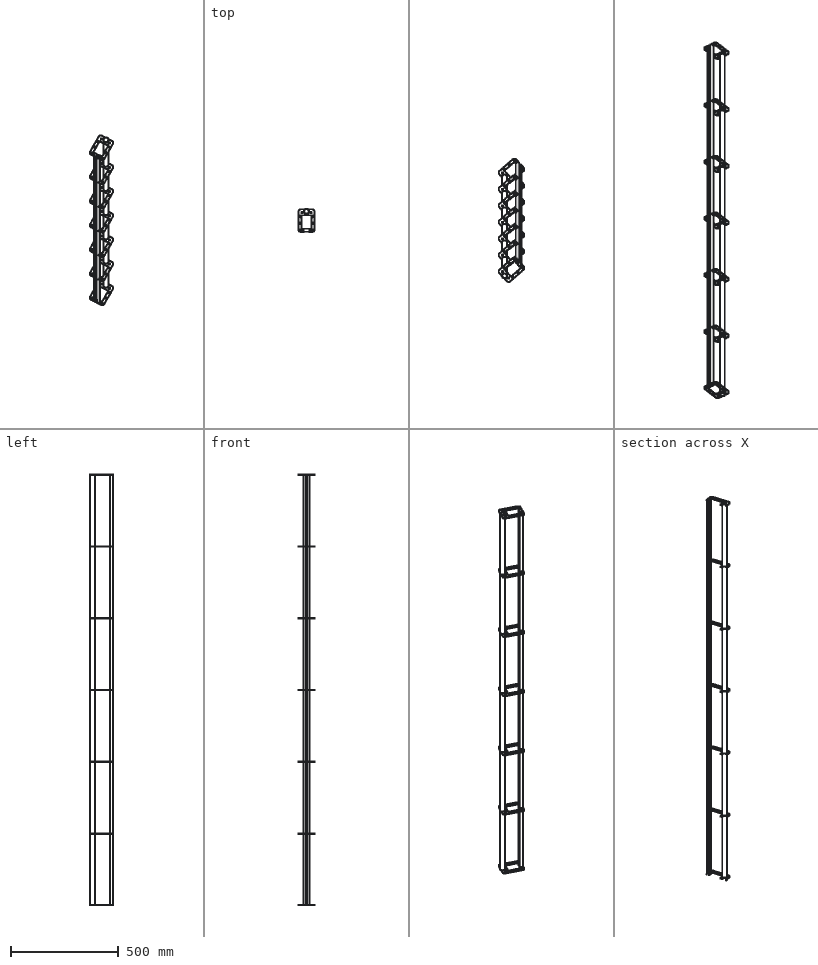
import cadquery as cq

HEIGHT = 2000.0
OVERALL_DEPTH = 108.7
FRONT_Y = -OVERALL_DEPTH / 2
BACK_Y = OVERALL_DEPTH / 2

TUBE_OUTER_DIAMETER = 25.0
TUBE_INNER_DIAMETER = 21.0
TUBE_Y = BACK_Y - TUBE_OUTER_DIAMETER / 2

RAIL_WIDTH = 28.0
RAIL_DEPTH = 15.0
RAIL_WALL = 1.0
RAIL_CORNER_RADIUS = 1.5
RAIL_GAP = 7.0
RAIL_FRONT_SETBACK = 0.6
RAIL_Y = FRONT_Y + RAIL_FRONT_SETBACK + RAIL_DEPTH / 2

PLATE_COUNT = 7
PLATE_THICKNESS = 4.0
PLATE_PITCH = 333.0
PLATE_WIDTH = 75.0
PLATE_BACK_Y = 51.5
PLATE_DEPTH = PLATE_BACK_Y - FRONT_Y
PLATE_CORNER_RADIUS = 11.0

WINDOW_WIDTH = 46.0
WINDOW_BACK_Y = 22.5
WINDOW_FRONT_Y = -39.5
WINDOW_CORNER_RADIUS = 2.0

LEG_HOLE_DIAMETER = 8.0
LEG_HOLE_X = 27.5
LEG_HOLE_BACK_Y = 18.0
LEG_HOLE_PITCH = 32.0
LEG_HOLE_COUNT = 3
BACK_HOLE_DIAMETER = 6.5
BACK_HOLE_X = 21.0
BACK_HOLE_Y = 36.0


def rounded_block(width, depth, height, centre_y, radius):
    """Upright rectangular block, centred on X = 0, with rounded vertical edges."""
    block = cq.Workplane("XY").center(0, centre_y).rect(width, depth).extrude(height)
    return block.edges("|Z").fillet(radius)


def make_tube():
    return (
        cq.Workplane("XY")
        .center(0, TUBE_Y)
        .circle(TUBE_OUTER_DIAMETER / 2)
        .circle(TUBE_INNER_DIAMETER / 2)
        .extrude(HEIGHT)
    )


def rail_envelope(height):
    """Outer shape of the two channels taken together."""
    return rounded_block(RAIL_WIDTH, RAIL_DEPTH, height, RAIL_Y, RAIL_CORNER_RADIUS)


def make_rails():
    """Two mirrored channels: a rounded box section split by the gap along its middle."""
    bore = rounded_block(
        RAIL_WIDTH - 2 * RAIL_WALL,
        RAIL_DEPTH - 2 * RAIL_WALL,
        HEIGHT,
        RAIL_Y,
        RAIL_CORNER_RADIUS - RAIL_WALL,
    )
    gap = cq.Workplane("XY").center(0, RAIL_Y).rect(RAIL_GAP, RAIL_DEPTH).extrude(HEIGHT)
    return rail_envelope(HEIGHT).cut(bore).cut(gap).solids()


def plate_holes():
    """Cutters for the small holes on both sides of a plate."""
    leg_points = []
    back_points = []
    for side in (-1, 1):
        back_points.append((side * BACK_HOLE_X, BACK_HOLE_Y))
        for index in range(LEG_HOLE_COUNT):
            leg_points.append((side * LEG_HOLE_X, LEG_HOLE_BACK_Y - index * LEG_HOLE_PITCH))
    leg_holes = cq.Workplane("XY").pushPoints(leg_points).circle(LEG_HOLE_DIAMETER / 2)
    back_holes = cq.Workplane("XY").pushPoints(back_points).circle(BACK_HOLE_DIAMETER / 2)
    return leg_holes.extrude(PLATE_THICKNESS).add(back_holes.extrude(PLATE_THICKNESS)).combine()


def make_plate():
    """U-shaped plate at Z = 0: a back bar around the tube, and two legs that end at the channels."""
    plate = rounded_block(
        PLATE_WIDTH, PLATE_DEPTH, PLATE_THICKNESS, (PLATE_BACK_Y + FRONT_Y) / 2, PLATE_CORNER_RADIUS
    )
    window = rounded_block(
        WINDOW_WIDTH,
        WINDOW_BACK_Y - WINDOW_FRONT_Y,
        PLATE_THICKNESS,
        (WINDOW_BACK_Y + WINDOW_FRONT_Y) / 2,
        WINDOW_CORNER_RADIUS,
    )
    mouth_width = RAIL_WIDTH - 2 * RAIL_CORNER_RADIUS
    mouth_depth = 2 * (WINDOW_FRONT_Y - FRONT_Y)
    mouth = cq.Workplane("XY").center(0, FRONT_Y).rect(mouth_width, mouth_depth).extrude(PLATE_THICKNESS)
    mouth = mouth.union(rail_envelope(PLATE_THICKNESS))
    tube_hole = (
        cq.Workplane("XY").center(0, TUBE_Y).circle(TUBE_OUTER_DIAMETER / 2).extrude(PLATE_THICKNESS)
    )
    return plate.cut(window).cut(mouth).cut(tube_hole).cut(plate_holes())


def plate_levels():
    """Underside heights: the end plates are flush with the ends, the others centred on the pitch."""
    inner = [index * PLATE_PITCH - PLATE_THICKNESS / 2 for index in range(1, PLATE_COUNT - 1)]
    return [0.0, *inner, HEIGHT - PLATE_THICKNESS]


tube = make_tube()
rails = make_rails()
plates = [make_plate().translate((0, 0, level)) for level in plate_levels()]

result = cq.Compound.makeCompound([tube.val(), *rails.vals(), *[plate.val() for plate in plates]])